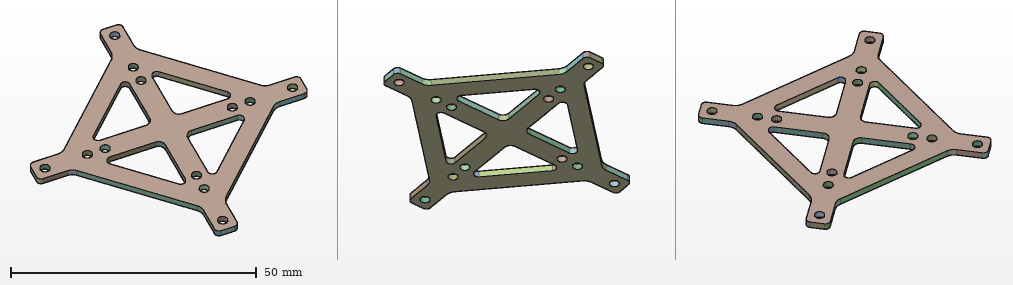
import cadquery as cq

span = 60.0
thickness = 1.5
arm_width = 5.0
frame_corner = 25.0
tip_radius = 1.0
arm_root_radius = 2.5

window_corner = 19.1
window_inner_radius = 1.5
window_sharp_radius = 1.0

hole_diameter = 2.05
hole_distances = (14.1, 18.05, 27.5)

half_span = span / 2
half_arm = arm_width / 2


def quarter_turns(shape):
    """Return the shape at each of the four quarter turns about Z."""
    return [shape.rotate((0, 0, 0), (0, 0, 1), 90 * turn) for turn in range(4)]


def make_outline():
    """Diamond frame with four arms, rounded at the arm roots and tips."""
    root = frame_corner - half_arm
    corners = [
        (half_span, -half_arm), (half_span, half_arm), (root, half_arm), (half_arm, root),
        (half_arm, half_span), (-half_arm, half_span), (-half_arm, root), (-root, half_arm),
        (-half_span, half_arm), (-half_span, -half_arm), (-root, -half_arm), (-half_arm, -root),
        (-half_arm, -half_span), (half_arm, -half_span), (half_arm, -root), (root, -half_arm),
    ]
    plate = cq.Workplane("XY").polyline(corners).close().extrude(thickness)
    reach = (root + half_span) / 2
    arm_roots = cq.selectors.BoxSelector((-reach, -reach, 0), (reach, reach, thickness))
    plate = plate.edges("|Z").edges(arm_roots).fillet(arm_root_radius)
    return plate.edges("|Z").edges("<X or >X or <Y or >Y").fillet(tip_radius)


def make_window():
    """Cutter for the triangular window in the first quadrant."""
    far = window_corner - half_arm
    window = (
        cq.Workplane("XY")
        .polyline([(half_arm, half_arm), (far, half_arm), (half_arm, far)])
        .close()
        .extrude(thickness)
    )
    window = window.edges("|Z").edges(">X or >Y").fillet(window_sharp_radius)
    inner_corner = cq.selectors.NearestToPointSelector((half_arm, half_arm, thickness / 2))
    return window.edges("|Z").edges(inner_corner).fillet(window_inner_radius)


def make_arm_holes():
    """Cutters for the row of screw holes on the +X arm."""
    places = [(distance, 0) for distance in hole_distances]
    return cq.Workplane("XY").pushPoints(places).circle(hole_diameter / 2).extrude(thickness)


result = make_outline()
for cutter in quarter_turns(make_window()) + quarter_turns(make_arm_holes()):
    result = result.cut(cutter)